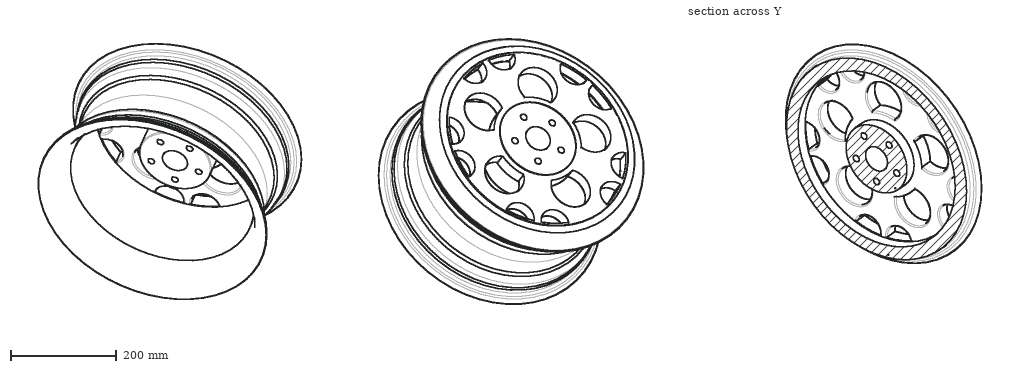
import cadquery as cq
import math


RIM_R = 228.5
BARREL_INNER_R = 183.5
DROP_R = 194.3
DROP_HALF_WIDTH = 44.5
SHOULDER_START = (199.0, 50.7)
SHOULDER_MID = (205.5, 55.0)
SHOULDER_END = (209.0, 62.0)
HUMP_START = (210.0, 76.0)
HUMP_TOP = (212.0, 79.5)
HUMP_END = (211.0, 83.0)
SEAT_END = (211.0, 94.0)
FLANGE_ROOT_MID = (212.5, 97.5)
FLANGE_ROOT = (216.0, 99.0)
FLANGE_ROUND_R = 7.8
FLANGE_ROUND_CENTRE_R = RIM_R - FLANGE_ROUND_R
FLANGE_TIP_Y = 108.5
FLANGE_Y = 109.5
LIP_EDGE_R = 227.5

BELL_START_Y = -48.0
BELL_END_Y = -109.5
BELL_POINTS = [(191.5, -66.7), (198.5, -87.8), (204.5, -102.5), (217.0, BELL_END_Y)]

DISC_BACK_Y = 106.5
FRONT_EDGE_Y = 132.0
FRONT_EDGE_R = 200.5
FRONT_COVE_MID = (207.0, 118.5)
DISC_FACE_Y = 135.0
DISC_FACE_R = 186.0
HUB_BACK_Y = 31.5
HUB_R = 71.8
HUB_FILLET = 2.0
HUB_FRONT_Y = 136.5
HUB_FRONT_R = 78.0
BORE_R = 25.0

COUNT = 5
BOLT_ANGLE = -90
BIG_WINDOW_ANGLE = 90
BOLT_CIRCLE_R = 50.0
BOLT_HOLE_R = 6.5
BIG_WINDOW_R = 40.0
BIG_WINDOW_CENTRE_R = 115.5
SMALL_WINDOW_R = 29.0
SMALL_WINDOW_CENTRE_R = 181.0
SMALL_WINDOW_ANGLE = 11.5
SMALL_WINDOW_LIMIT_R = 181.5
WEB_R = 89.5
WINDOW_FILLET = 2.7
WEB_FILLET = 3.0

MARGIN = 4.5
CUT_END_Y = HUB_FRONT_Y + MARGIN

LIP_BLANK_Y = -FLANGE_Y - MARGIN


def turned(outline):
    """Spin a closed (radius, y) outline about the wheel axis."""
    return outline.close().revolve(360, (0, 0, 0), (0, 1, 0))


def cylinder(radius, y_from, y_to):
    """Cylinder on the wheel axis between two Y values."""
    return cq.Workplane("XZ", origin=(0, y_from, 0)).circle(radius).extrude(y_from - y_to)


def around_axis(shape, start_angle):
    """Evenly spaced copies of a shape lying on +X, the first turned to start_angle (from +X towards +Z)."""
    pitch = 360 / COUNT
    return [shape.rotate((0, 0, 0), (0, 1, 0), -(start_angle + i * pitch)) for i in range(COUNT)]


def half_rim():
    """Solid half of the rim, from the middle of the barrel to the +Y flange."""
    return turned(
        cq.Workplane("XY")
        .lineTo(DROP_R, 0)
        .lineTo(DROP_R, DROP_HALF_WIDTH)
        .lineTo(*SHOULDER_START)
        .threePointArc(SHOULDER_MID, SHOULDER_END)
        .lineTo(*HUMP_START)
        .threePointArc(HUMP_TOP, HUMP_END)
        .lineTo(*SEAT_END)
        .threePointArc(FLANGE_ROOT_MID, FLANGE_ROOT)
        .lineTo(FLANGE_ROUND_CENTRE_R, FLANGE_TIP_Y - FLANGE_ROUND_R)
        .radiusArc((RIM_R, FLANGE_TIP_Y), -FLANGE_ROUND_R)
        .lineTo(LIP_EDGE_R, FLANGE_Y)
        .lineTo(0, FLANGE_Y)
    )


def front_cap():
    """Coved front edge, raised disc face and hub face ahead of the +Y flange."""
    return turned(
        cq.Workplane("XY")
        .moveTo(0, FLANGE_Y)
        .lineTo(LIP_EDGE_R, FLANGE_Y)
        .threePointArc(FRONT_COVE_MID, (FRONT_EDGE_R, FRONT_EDGE_Y))
        .lineTo(DISC_FACE_R, FRONT_EDGE_Y)
        .lineTo(DISC_FACE_R, DISC_FACE_Y)
        .lineTo(HUB_FRONT_R, DISC_FACE_Y)
        .lineTo(HUB_FRONT_R, HUB_FRONT_Y)
        .lineTo(0, HUB_FRONT_Y)
    )


def cavity():
    """Space behind the disc: the straight barrel, then the bell that rolls over the back lip."""
    return turned(
        cq.Workplane("XY")
        .moveTo(0, DISC_BACK_Y)
        .lineTo(BARREL_INNER_R, DISC_BACK_Y)
        .lineTo(BARREL_INNER_R, BELL_START_Y)
        .spline(BELL_POINTS + [(LIP_EDGE_R, -FLANGE_Y)], includeCurrent=True)
        .lineTo(LIP_EDGE_R, LIP_BLANK_Y - MARGIN)
        .lineTo(0, LIP_BLANK_Y - MARGIN)
    )


def window(radius, centre_r):
    """Round window cutter on +X, widening as a fillet at the back of the disc."""
    wide_r = radius + WINDOW_FILLET
    round_off = WINDOW_FILLET * (1 - math.sqrt(0.5))
    cutter = turned(
        cq.Workplane("XY")
        .moveTo(0, DISC_BACK_Y)
        .lineTo(wide_r, DISC_BACK_Y)
        .threePointArc(
            (radius + round_off, DISC_BACK_Y + round_off),
            (radius, DISC_BACK_Y + WINDOW_FILLET),
        )
        .lineTo(radius, CUT_END_Y)
        .lineTo(0, CUT_END_Y)
    )
    return cutter.translate((centre_r, 0, 0))


def web_rounding():
    """Ring that rounds the back edge of the web beside a window."""
    round_off = WEB_FILLET * (1 - math.sqrt(0.5))
    return turned(
        cq.Workplane("XY")
        .moveTo(WEB_R - WEB_FILLET, DISC_BACK_Y)
        .threePointArc(
            (WEB_R - round_off, DISC_BACK_Y + round_off),
            (WEB_R, DISC_BACK_Y + WEB_FILLET),
        )
        .lineTo(WEB_R, DISC_BACK_Y)
    )


front_half = half_rim()
back_half = front_half.mirror("XZ")
back_lip = cylinder(LIP_EDGE_R, LIP_BLANK_Y, -FLANGE_Y)
wheel = front_half.union(back_half, clean=False)
wheel = wheel.union(back_lip, clean=False).union(front_cap(), clean=False)
wheel = wheel.cut(cavity(), clean=False)

hub_pad = cylinder(HUB_R, HUB_BACK_Y, DISC_BACK_Y).faces("<Y").edges().fillet(HUB_FILLET)
wheel = wheel.union(hub_pad, clean=False)

full_window = window(BIG_WINDOW_R, BIG_WINDOW_CENTRE_R)
big_window = full_window.cut(cylinder(WEB_R, HUB_BACK_Y, CUT_END_Y))
big_windows = around_axis(big_window, BIG_WINDOW_ANGLE)
first_full_window = around_axis(full_window, BIG_WINDOW_ANGLE)[0]
web_edge = web_rounding().intersect(first_full_window)

limit = cylinder(SMALL_WINDOW_LIMIT_R, HUB_BACK_Y, CUT_END_Y)
small_window = window(SMALL_WINDOW_R, SMALL_WINDOW_CENTRE_R).intersect(limit)
small_windows = []
for offset in (-SMALL_WINDOW_ANGLE, SMALL_WINDOW_ANGLE):
    small_windows += around_axis(small_window, BOLT_ANGLE + offset)

bore = cylinder(BORE_R, HUB_BACK_Y, CUT_END_Y)
bolt_hole = cylinder(BOLT_HOLE_R, HUB_BACK_Y, CUT_END_Y).translate((BOLT_CIRCLE_R, 0, 0))
bolt_holes = around_axis(bolt_hole, BOLT_ANGLE)

for cutter in big_windows + [web_edge] + small_windows + [bore] + bolt_holes:
    wheel = wheel.cut(cutter, clean=False)

result = wheel